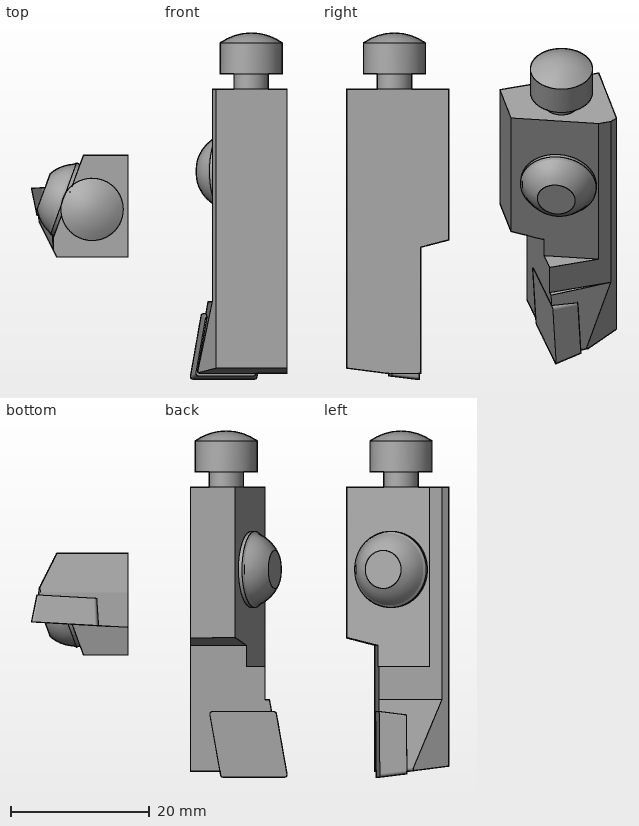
import cadquery as cq
import math

width = 13.95
depth = 14.75
column_top = 41.9
left_x = 3.15
bevel_x = 3.65
bevel_y = 1.0
slant_start_y = 2.8
slant_angle = 20.0
bevel_slope = (bevel_x - left_x) / bevel_y
slant_slope = math.tan(math.radians(slant_angle))

slant_bottom = 16.0
nose_top = 11.2
nose_lean_y = 0.07
nose_lean_z = 0.18
nose_radius = 0.4
holder_bottom = 0.85
front_bottom = 1.6
bottom_slope = 0.13

rake_angle = 3.3
relief_y = 10.1
relief_top = 19.05
relief_roof_slope = 0.26

insert_side = 9.65
insert_lean = 10.0
insert_thickness = 3.95
insert_relief = 7.0
insert_corner = 0.4
insert_tip_x = -0.1
insert_tip_y = 9.95

screw_x = 8.75
screw_y = 6.9
neck_diameter = 5.0
head_diameter = 9.0
head_bottom = 44.1
crown_bottom = 48.55
overall_height = 50.0

dome_y = 8.25
dome_z = 30.0
collar_diameter = 11.0
dome_diameter = 10.4
dome_flat_diameter = 5.5
collar_height = 0.55
dome_bottom = 0.85
dome_height = 3.6

margin = 2.5
tool_size = 100.0


def prism(points, bottom, top):
    return cq.Workplane("XY").workplane(offset=bottom).polyline(points).close().extrude(top - bottom)


def half_space(origin, normal):
    """Large block lying on the side of a plane that its normal points to."""
    plane = cq.Plane(origin=origin, xDir=(0, normal[2], -normal[1]), normal=normal)
    return cq.Workplane(plane).rect(tool_size, tool_size).extrude(tool_size)


def make_column():
    slant_end_x = left_x + (depth - slant_start_y) * slant_slope
    front = [(bevel_x, 0), (width, 0), (width, depth)]
    upper = front + [(slant_end_x, depth), (left_x, slant_start_y), (left_x, bevel_y)]
    lower = front + [(left_x, depth), (left_x, bevel_y)]
    return prism(upper, slant_bottom, column_top).union(prism(lower, holder_bottom, slant_bottom))


def make_nose():
    """Wedge that carries the insert, bounded by the bevel plane and a leaning left face."""
    outline = [(bevel_x, 0), (width, 0), (width, depth), (bevel_x - bevel_slope * depth, depth)]
    block = prism(outline, holder_bottom, nose_top)
    outside = half_space((left_x, bevel_y, nose_top), (-1, -nose_lean_y, nose_lean_z))
    nose = block.cut(outside)
    return nose.faces("<Z").edges("<X").fillet(nose_radius)


def make_bottom_cut():
    return half_space((0, 0, front_bottom), (0, -bottom_slope, -1))


def make_relief_cut():
    angle = math.radians(rake_angle)
    plane = cq.Plane(
        origin=(left_x, relief_y, 0),
        xDir=(-math.sin(angle), math.cos(angle), 0),
        normal=(math.cos(angle), math.sin(angle), 0),
    )
    reach = depth - relief_y + margin
    points = [(0, -margin), (reach, -margin), (reach, relief_top + reach * relief_roof_slope), (0, relief_top)]
    return cq.Workplane(plane).polyline(points).close().extrude(tool_size / 2, both=True)


def make_adjusting_screw():
    head_radius = head_diameter / 2
    neck_radius = neck_diameter / 2
    crown_height = overall_height - crown_bottom
    crown_radius = (head_radius**2 + crown_height**2) / (2 * crown_height)
    mid_x = head_radius / 2
    mid_z = overall_height - crown_radius + math.sqrt(crown_radius**2 - mid_x**2)
    profile = (
        cq.Workplane("XZ")
        .moveTo(0, column_top)
        .lineTo(neck_radius, column_top)
        .lineTo(neck_radius, head_bottom)
        .lineTo(head_radius, head_bottom)
        .lineTo(head_radius, crown_bottom)
        .threePointArc((mid_x, mid_z), (0, overall_height))
        .close()
    )
    return profile.revolve(360, (0, 0), (0, 1)).translate((screw_x, screw_y, 0))


def make_clamp_screw():
    collar_radius = collar_diameter / 2
    dome_radius = dome_diameter / 2
    flat_radius = dome_flat_diameter / 2
    center = (flat_radius**2 + dome_height**2 - dome_radius**2 - dome_bottom**2) / (
        2 * (dome_height - dome_bottom)
    )
    ball_radius = math.hypot(dome_radius, dome_bottom - center)
    mid_height = (dome_bottom + dome_height) / 2
    mid_radius = math.sqrt(ball_radius**2 - (mid_height - center) ** 2)
    angle = math.radians(slant_angle)
    plane = cq.Plane(
        origin=(left_x + (dome_y - slant_start_y) * slant_slope, dome_y, dome_z),
        xDir=(math.sin(angle), math.cos(angle), 0),
        normal=(0, 0, 1),
    )
    profile = (
        cq.Workplane(plane)
        .lineTo(collar_radius, 0)
        .lineTo(collar_radius, collar_height)
        .lineTo(dome_radius, dome_bottom)
        .threePointArc((mid_radius, mid_height), (flat_radius, dome_height))
        .lineTo(0, dome_height)
        .close()
    )
    return profile.revolve(360, (0, 0), (0, 1))


def make_insert():
    lean = math.radians(insert_lean)
    shift = insert_side * math.sin(lean)
    rise = insert_side * math.cos(lean)
    points = [(0, 0), (insert_side, 0), (insert_side + shift, rise), (shift, rise)]
    plate = cq.Workplane("XZ").polyline(points).close().extrude(insert_thickness, taper=insert_relief)
    plate = plate.edges("not #Y").fillet(insert_corner)
    return plate.rotate((0, 0, 0), (0, 0, 1), rake_angle).translate((insert_tip_x, insert_tip_y, 0))


insert = make_insert()
holder = (
    make_column()
    .union(make_nose())
    .cut(make_bottom_cut())
    .cut(make_relief_cut())
    .union(make_adjusting_screw())
    .union(make_clamp_screw())
    .cut(insert)
)

result = cq.Compound.makeCompound([holder.val(), insert.val()])